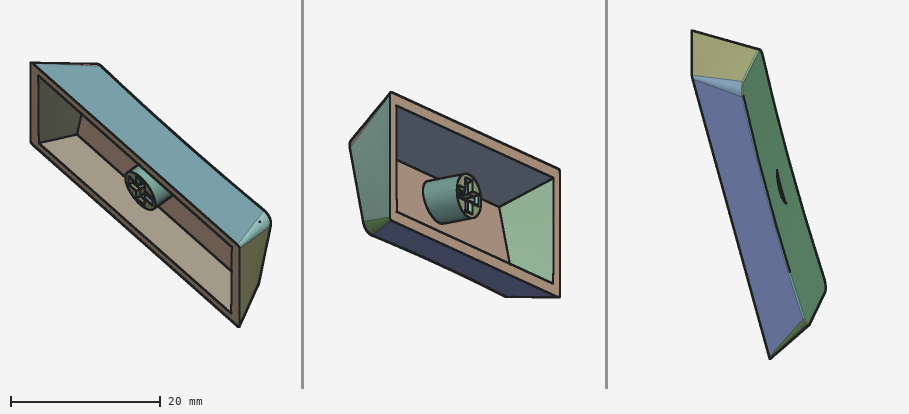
import cadquery as cq
import math


rim_width = 41.7
rim_height = 18.0
rim_corner_radius = 0.4
crown_width = 35.63
crown_corner_radius = 1.65
crown_top_depth = 8.75
crown_bottom_depth = 6.0
crown_rise = 13.8
crown_edge_radius = 0.25
dish_sag = 0.45

wall = 1.6
cavity_top_half_width = 19.3
cavity_bottom_half_width = 19.2
floor_top_half_width = 16.75
floor_bottom_half_width = 16.85
floor_rise = 11.25
floor_bottom_depth = 4.75

stem_diameter = 6.0
stem_recess = 0.95
cross_mouth_span = 4.75
cross_mouth_arm = 1.7
socket_bevel = 0.4

bottom_z = -rim_height / 2
cavity_bottom_z = bottom_z + wall
cavity_top_z = rim_height / 2 - wall
floor_top_z = cavity_bottom_z + floor_rise
floor_slope = (crown_top_depth - crown_bottom_depth) / crown_rise
floor_top_depth = floor_bottom_depth + floor_slope * floor_rise

crown_slope_length = math.hypot(crown_rise, crown_top_depth - crown_bottom_depth)
crown_plane = cq.Plane(
    origin=(0, (crown_top_depth + crown_bottom_depth) / 2, bottom_z + crown_rise / 2),
    xDir=(-1, 0, 0),
    normal=(0, crown_rise, crown_bottom_depth - crown_top_depth),
)
rim_plane = cq.Plane(origin=(0, 0, 0), xDir=(-1, 0, 0), normal=(0, 1, 0))


def ruled_solid(start, end):
    return cq.Workplane(obj=cq.Solid.makeLoft([start, end], True))


def rounded_rectangle(plane, width, height, radius):
    sketch = cq.Sketch().rect(width, height).vertices().fillet(radius)
    return sketch.moved(cq.Location(plane))


def floor_depth(z):
    """Y of the sloping cavity floor at height z."""
    return floor_bottom_depth + floor_slope * (z - cavity_bottom_z)


def make_shell():
    rim = rounded_rectangle(rim_plane, rim_width, rim_height, rim_corner_radius)
    crown = rounded_rectangle(crown_plane, crown_width, crown_slope_length, crown_corner_radius)
    return cq.Workplane().placeSketch(rim, crown).loft(ruled=True)


def make_dish():
    """Shallow cylinder whose axis runs along the slope of the crown."""
    radius = ((crown_width / 2) ** 2 + dish_sag ** 2) / (2 * dish_sag)
    profile_plane = cq.Plane(
        origin=crown_plane.origin.toTuple(),
        xDir=crown_plane.xDir.toTuple(),
        normal=crown_plane.yDir.toTuple(),
    )
    return (
        cq.Workplane(profile_plane)
        .center(0, dish_sag - radius)
        .circle(radius)
        .extrude(crown_slope_length, both=True)
    )


def trapezoid(top_half_width, top_y, top_z, base_half_width, base_y, base_z):
    return cq.Wire.makePolygon(
        [
            cq.Vector(-base_half_width, base_y, base_z),
            cq.Vector(base_half_width, base_y, base_z),
            cq.Vector(top_half_width, top_y, top_z),
            cq.Vector(-top_half_width, top_y, top_z),
        ],
        close=True,
    )


def make_cavity():
    mouth = trapezoid(
        cavity_top_half_width, 0, cavity_top_z,
        cavity_bottom_half_width, 0, cavity_bottom_z,
    )
    floor = trapezoid(
        floor_top_half_width, floor_top_depth, floor_top_z,
        floor_bottom_half_width, floor_bottom_depth, cavity_bottom_z,
    )
    return ruled_solid(mouth, floor)


def cross_wire(span, arm, depth_at):
    tip = span / 2
    side = arm / 2
    quarter = [(tip, -side), (tip, side), (side, side)]
    outline = []
    for _ in range(4):
        outline += quarter
        quarter = [(-z, x) for x, z in quarter]
    return cq.Wire.makePolygon([cq.Vector(x, depth_at(z), z) for x, z in outline], close=True)


def make_socket():
    mouth = cross_wire(cross_mouth_span, cross_mouth_arm, lambda z: stem_recess)
    inner_span = cross_mouth_span - 2 * socket_bevel
    inner_arm = cross_mouth_arm - 2 * socket_bevel
    neck = cross_wire(inner_span, inner_arm, lambda z: stem_recess + socket_bevel)
    end = cross_wire(inner_span, inner_arm, floor_depth)
    return ruled_solid(mouth, neck).union(ruled_solid(neck, end))


def make_stem():
    """Round stem reaching from its recessed face into the cavity floor."""
    return (
        cq.Workplane(rim_plane)
        .workplane(offset=stem_recess)
        .circle(stem_diameter / 2)
        .extrude(floor_top_depth - stem_recess)
    )


shell = make_shell()

shell = shell.cut(make_dish())
shell = shell.faces(">Y").edges().fillet(crown_edge_radius)
result = shell.cut(make_cavity()).union(make_stem()).cut(make_socket())